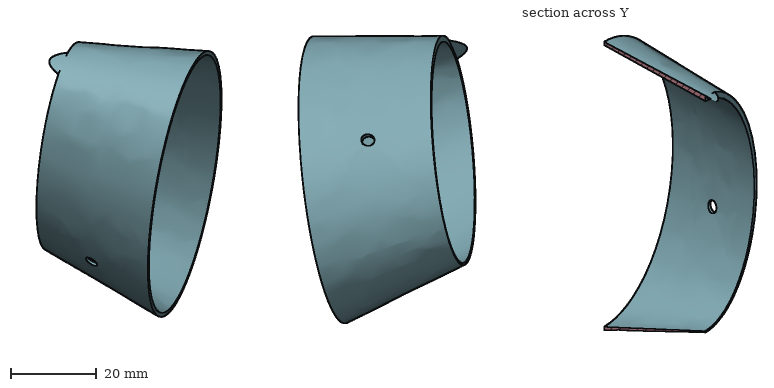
import cadquery as cq

length = 30.0

wide_width = 54.0
wide_height = 76.0

narrow_width = 39.1
top_drop = 4.6
bottom_rise = 9.0

wall = 1.0
opening_sink = 0.55

lip_length = 3.32

hole_diameter = 3.0
hole_x = 14.5
hole_z = -9.15

wide_top = wide_height / 2
narrow_top = wide_top - top_drop
narrow_bottom = -wide_top + bottom_rise
lip_floor = narrow_top - lip_length * top_drop / length


def section_at(x, inset, sink):
    """Half width, top and bottom of the section at x, inset all round and lowered by sink at X = 0."""
    share = x / length
    half_width = (narrow_width + share * (wide_width - narrow_width)) / 2
    drop = sink * (1 - share)
    top = narrow_top + share * top_drop - drop
    bottom = narrow_bottom - share * bottom_rise - drop
    return half_width - inset, top - inset, bottom + inset


def ellipse_wire(x, half_width, top, bottom):
    """Upright elliptical wire in the plane at x, with its seam at the top."""
    return cq.Wire.makeEllipse(
        (top - bottom) / 2,
        half_width,
        cq.Vector(x, 0, (top + bottom) / 2),
        cq.Vector(1, 0, 0),
        cq.Vector(0, 0, 1),
    )


def tapered_body(inset, sink):
    """Ruled elliptical body from the lip's tip to the wide rim."""
    ends = (-lip_length, length)
    wires = [ellipse_wire(x, *section_at(x, inset, sink)) for x in ends]
    return cq.Workplane(cq.Solid.makeLoft(wires, True))


def below_lip():
    """Block that squares off the narrow rim everywhere below the lip's flat underside."""
    return (
        cq.Workplane("XY", origin=(0, 0, lip_floor))
        .rect(2 * lip_length, 2 * wide_width)
        .extrude(-2 * wide_height)
        .translate((-lip_length, 0, 0))
    )


def cross_hole():
    """Pin along Y that pierces both side walls."""
    return (
        cq.Workplane("XZ", origin=(hole_x, 0, hole_z))
        .circle(hole_diameter / 2)
        .extrude(wide_width, both=True)
    )


outer = tapered_body(0, 0)
opening = tapered_body(wall, opening_sink)
result = outer.cut(opening).cut(below_lip()).cut(cross_hole())